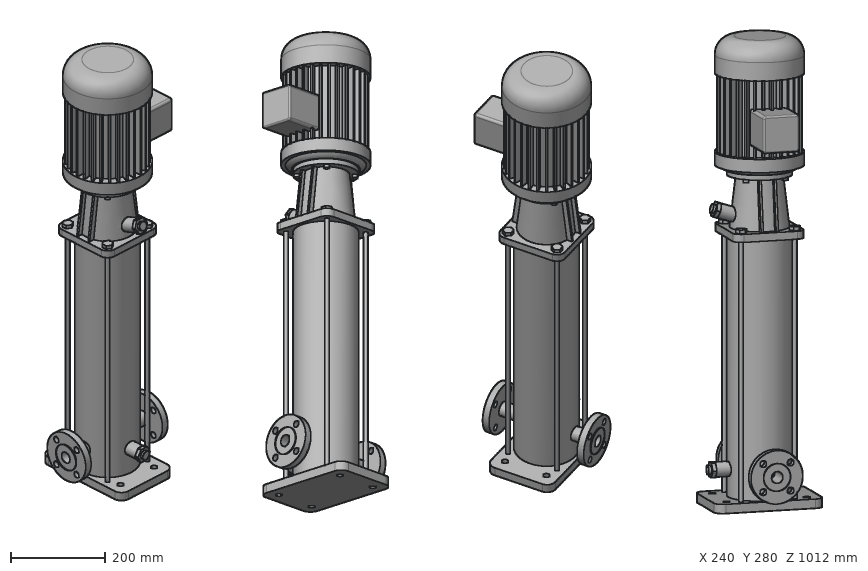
import cadquery as cq
import math

base_length = 240.0
base_width = 157.0
base_height = 20.0
base_corner_radius = 20.0
base_hole_diameter = 14.0
base_hole_x = 89.0
base_hole_y = 51.0
head_bottom = 583.0
head_top = 600.0
head_corner_radius = 19.0

barrel_diameter = 140.0
rod_diameter = 10.0
rod_offset = 60.0
nut_corner_diameter = 24.0
nut_height = 8.0

port_height = 81.0
port_reach = 125.0
port_pipe_diameter = 32.0
port_bore_diameter = 25.0
flange_diameter = 115.0
flange_thickness = 16.0
raised_face_diameter = 60.0
raised_face_height = 2.0
flange_hole_diameter = 14.0
flange_hole_offset = 30.0

plug_diameter = 32.0
plug_hex_thickness = 9.0
plug_hex_corner_diameter = 36.0
plug_tip_diameter = 20.0
plug_tip_length = 6.0
drain_tip_x = 115.0
vent_root_x = 51.0
vent_root_height = 626.0
vent_length = 59.0
vent_tilt = 18.0

lantern_top = 712.0
lantern_bottom_radius = 64.0
lantern_top_radius = 51.0
rib_thickness = 5.0
rib_gap = 28.0
rib_offset = (rib_gap + rib_thickness) / 2
rib_bottom_reach = 73.0
rib_top_reach = 58.0
bolt_offset = 44.0
bolt_diameter = 12.0
bolt_head_height = 7.0

motor_ring_diameter = 140.0
motor_ring_top = 724.0
shoulder_foot_radius = 73.0
motor_shoulder_radius = 86.0
shoulder_bulge = 1.0
motor_diameter = 190.0
end_shield_bottom = 734.0
end_shield_top = 762.0
core_radius = 76.0
fin_radius = 91.0
fin_thickness = 4.6
fin_count = 30
cowl_bottom = 931.0
dome_bottom = 972.0
motor_top = 1012.0
dome_radius = motor_top - dome_bottom

box_size = 81.0
box_reach = 155.0
box_center_height = 827.0
box_edge_radius = 6.0
box_end_radius = 4.0


def cylinder_z(diameter, bottom, top):
    return cq.Workplane("XY").workplane(offset=bottom).circle(diameter / 2).extrude(top - bottom)


def plate(length, width, corner_radius, bottom, top):
    slab = cq.Workplane("XY").workplane(offset=bottom).rect(length, width).extrude(top - bottom)
    return slab.edges("|Z").fillet(corner_radius)


def corner_points(x, y):
    return [(sx * x, sy * y) for sx in (-1, 1) for sy in (-1, 1)]


def make_base():
    base = plate(base_length, base_width, base_corner_radius, 0, base_height)
    holes = (
        cq.Workplane("XY")
        .pushPoints(corner_points(base_hole_x, base_hole_y))
        .circle(base_hole_diameter / 2)
        .extrude(base_height)
    )
    return base.cut(holes)


def make_tie_rods():
    corners = corner_points(rod_offset, rod_offset)
    rods = (
        cq.Workplane("XY")
        .workplane(offset=base_height)
        .pushPoints(corners)
        .circle(rod_diameter / 2)
        .extrude(head_top - base_height)
    )
    nuts = (
        cq.Workplane("XY")
        .workplane(offset=head_top)
        .pushPoints(corners)
        .polygon(6, nut_corner_diameter)
        .extrude(nut_height)
    )
    return rods.union(nuts)


def make_front_port():
    """Flanged pipe facing -Y, its bore ending at the barrel wall."""
    face = cq.Workplane("XZ", origin=(0, -port_reach, port_height))
    flange_face = cq.Workplane("XZ", origin=(0, raised_face_height - port_reach, port_height))
    port = face.circle(port_pipe_diameter / 2).extrude(-port_reach)
    port = port.union(face.circle(raised_face_diameter / 2).extrude(-raised_face_height))
    port = port.union(flange_face.circle(flange_diameter / 2).extrude(-flange_thickness))
    bolt_holes = (
        flange_face.pushPoints(corner_points(flange_hole_offset, flange_hole_offset))
        .circle(flange_hole_diameter / 2)
        .extrude(-flange_thickness)
    )
    bore = face.circle(port_bore_diameter / 2).extrude(-port_reach)
    return port.cut(bolt_holes).cut(bore)


def make_plug(length):
    """Plug along +X from the origin: round shank, hexagon and small tip."""
    shank_length = length - plug_tip_length - plug_hex_thickness
    shank = cq.Workplane("YZ").circle(plug_diameter / 2).extrude(shank_length)
    hexagon = (
        cq.Workplane("YZ")
        .workplane(offset=shank_length)
        .polygon(6, plug_hex_corner_diameter)
        .extrude(plug_hex_thickness)
    )
    tip = cq.Workplane("YZ").circle(plug_tip_diameter / 2).extrude(length)
    return shank.union(hexagon).union(tip)


def make_lantern():
    cone = (
        cq.Workplane("XZ")
        .polyline([
            (0, head_top),
            (lantern_bottom_radius, head_top),
            (lantern_top_radius, lantern_top),
            (0, lantern_top),
        ])
        .close()
        .revolve(360, (0, 0), (0, 1))
    )
    rib_outline = [
        (-rib_bottom_reach, head_top),
        (rib_bottom_reach, head_top),
        (rib_top_reach, lantern_top),
        (-rib_top_reach, lantern_top),
    ]
    rib = cq.Workplane("YZ").polyline(rib_outline).close().extrude(rib_thickness / 2, both=True)
    bolts = (
        cq.Workplane("XY")
        .workplane(offset=lantern_top - bolt_head_height)
        .pushPoints(corner_points(bolt_offset, bolt_offset))
        .circle(bolt_diameter / 2)
        .extrude(bolt_head_height)
    )
    lantern = cone.union(bolts)
    for side in (-1, 1):
        lantern = lantern.union(rib.translate((side * rib_offset, 0, 0)))
    return lantern


def make_motor_body():
    """Turned motor shape, from the mounting ring up to the domed fan cowl."""
    ring_radius = motor_ring_diameter / 2
    motor_radius = motor_diameter / 2
    dome_flat = motor_radius - dome_radius
    dome_middle = (
        dome_flat + dome_radius * math.sin(math.radians(45)),
        dome_bottom + dome_radius * math.cos(math.radians(45)),
    )
    shoulder_middle = (
        (shoulder_foot_radius + motor_shoulder_radius) / 2 + shoulder_bulge,
        (motor_ring_top + end_shield_bottom) / 2 - shoulder_bulge,
    )
    return (
        cq.Workplane("XZ")
        .moveTo(0, lantern_top)
        .lineTo(ring_radius, lantern_top)
        .lineTo(ring_radius, motor_ring_top)
        .lineTo(shoulder_foot_radius, motor_ring_top)
        .threePointArc(shoulder_middle, (motor_shoulder_radius, end_shield_bottom))
        .lineTo(motor_radius, end_shield_bottom)
        .lineTo(motor_radius, end_shield_top)
        .lineTo(core_radius, end_shield_top)
        .lineTo(core_radius, cowl_bottom)
        .lineTo(motor_radius, cowl_bottom)
        .lineTo(motor_radius, dome_bottom)
        .threePointArc(dome_middle, (dome_flat, motor_top))
        .lineTo(0, motor_top)
        .close()
        .revolve(360, (0, 0), (0, 1))
    )


def make_fins():
    """Motor core with radial fins; each bar across the axis makes two opposite fins."""
    fin_pair = (
        cq.Workplane("XY")
        .workplane(offset=end_shield_top)
        .rect(fin_thickness, 2 * fin_radius)
        .extrude(cowl_bottom - end_shield_top)
    )
    fins = cylinder_z(2 * core_radius, end_shield_top, cowl_bottom)
    for index in range(fin_count // 2):
        turned = fin_pair.rotate((0, 0, 0), (0, 0, 1), index * 360 / fin_count)
        fins = fins.union(turned)
    return fins


def make_terminal_box():
    box = cq.Workplane("XZ", origin=(0, 0, box_center_height)).rect(box_size, box_size)
    box = box.extrude(-box_reach).edges("|Y").fillet(box_edge_radius)
    return box.edges(">Y").fillet(box_end_radius)


front_port = make_front_port()
back_port = front_port.mirror("XZ")
drain_plug = make_plug(drain_tip_x).translate((0, 0, port_height))
vent_plug = (
    make_plug(vent_length)
    .rotate((0, 0, 0), (0, 1, 0), -vent_tilt)
    .translate((vent_root_x, 0, vent_root_height))
)

result = (
    make_base()
    .union(front_port)
    .union(back_port)
    .union(drain_plug)
    .union(cylinder_z(barrel_diameter, base_height, head_bottom))
    .union(plate(base_width, base_width, head_corner_radius, head_bottom, head_top))
    .union(make_tie_rods())
    .union(make_lantern())
    .union(vent_plug)
    .union(make_motor_body())
    .union(make_fins())
    .union(make_terminal_box())
)